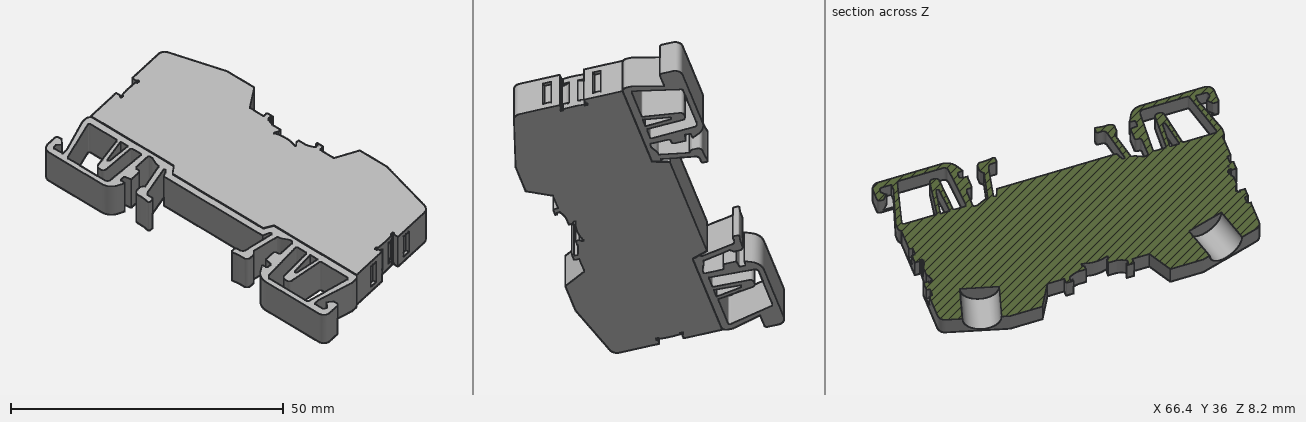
import cadquery as cq
import math

TOTAL_WIDTH = 66.4
TOTAL_HEIGHT = 36.0
BODY_THICKNESS = 8.2
BASE_INSET = 0.2
BASE_THICKNESS = BODY_THICKNESS - 2 * BASE_INSET

BODY_HALF = 31.3
BODY_BOTTOM = 11.7
SHOULDER_X = 18.8
SHOULDER_DROP = 3.45
SHOULDER_ROUND = 1.5
PEAK_X = 12.4
SHELF_X = 9.9
SHELF_Y = 31.55
TONGUE_Y = 9.95
TONGUE_TOP_X = 11.75
TONGUE_X = 10.7

CLIP_OUTER_X = 6.65
CLIP_INNER_X = 5.6
CLIP_LIP_X = 5.2
CLIP_TOP = 32.55
CLIP_LIP_HEIGHT = 0.4
CLIP_ROUND = 0.2
CLIP_ROOT = 0.65
LEDGE_Y = 30.9
LEDGE_CURVE_X = 3.8
LEDGE_END_X = 2.1
LEDGE_SAG = 0.35
RECESS_UNDERCUT_X = 2.5
RECESS_Y = 29.55
RECESS_CROWN = 0.3
LOBE_SIDE = 0.6
LOBE_TIP = 0.2
UNDERCUT_SINK = 0.1

NOTCH_Y = 21.4
NOTCH_HALF = 2.3
NOTCH_DEPTH = 1.2
NOTCH_BULGE = 0.1
UNDERCUT_DEPTH = 0.25
UNDERCUT_WIDTH = 0.4
SLOT_LENGTH = 5.45
SLOT_OFFSET = 4.8
SLOT_MOUTH = 1.6
SLOT_FLOOR = 1.2
SLOT_DEPTH = 0.65
RAMP_START = 0.8
RAMP_BEND = 1.45
RAMP_BEND_DEPTH = 0.25
RAMP_DEPTH = 0.5

ENTRY_DIAMETER = 7.2
ENTRY_DEPTH = 6.65
ENTRY_X = 23.7
ENTRY_CLEARANCE = 0.65

FOOT_HALF = TOTAL_WIDTH / 2
RIB_HALF = 31.75
RIB_TOP = 11.9
RIB_ROUND = 1.2
RIB_TOP_X = 29.9
RIB_OVERLAP = 13.3
BASE_MID_Y = 8.55
BASE_MID_X = 11.6
SKIN_TOP_X = 12.75
FOOT_FLOOR = 1.05
HOOK_TOP = 4.05
HOOK_POCKET_FLOOR = 1.4
HOOK_WEB = 0.65
WEB_OUTER_X = 32.55
WEB_INNER_X = 29.2
WEB_TOP_X = 30.0
WINDOW_TOP = 10.3
ARM_ROOT_Y = 10.0


def rounded_outline(corners):
    """Closed wire through (x, y, radius) corners, each rounded by a tangent arc."""
    spans = []
    count = len(corners)
    for i, (x, y, radius) in enumerate(corners):
        if radius == 0:
            spans.append([(x, y)])
            continue
        before = cq.Vector(*corners[i - 1][:2])
        after = cq.Vector(*corners[(i + 1) % count][:2])
        corner = cq.Vector(x, y)
        to_before = (before - corner).normalized()
        to_after = (after - corner).normalized()
        half_angle = to_before.getAngle(to_after) / 2
        setback = radius / math.tan(half_angle)
        bisector = (to_before + to_after).normalized()
        middle = corner + bisector * (radius / math.sin(half_angle) - radius)
        start = corner + to_before * setback
        end = corner + to_after * setback
        spans.append([p.toTuple()[:2] for p in (start, middle, end)])

    outline = cq.Workplane("XY").moveTo(*spans[0][-1])
    for span in spans[1:] + spans[:1]:
        outline = outline.lineTo(*span[0])
        if len(span) == 3:
            outline = outline.threePointArc(span[1], span[2])
    return outline.close()


def plate(outline, thickness):
    """Extrude an outline symmetrically about Z = 0."""
    return outline.extrude(thickness / 2, both=True)


def body_half():
    """Left half of the housing body without its side notch."""
    shoulder_y = TOTAL_HEIGHT - SHOULDER_DROP
    blank = plate(
        rounded_outline([
            (0, TONGUE_Y, 0),
            (-TONGUE_X, TONGUE_Y, 0),
            (-TONGUE_TOP_X, BODY_BOTTOM, 0),
            (-BODY_HALF, BODY_BOTTOM, 0),
            (-BODY_HALF, shoulder_y, SHOULDER_ROUND),
            (-SHOULDER_X, TOTAL_HEIGHT, 0),
            (-PEAK_X, TOTAL_HEIGHT, 0),
            (-SHELF_X, SHELF_Y, 0),
            (0, SHELF_Y, 0),
        ]),
        BODY_THICKNESS,
    )
    lip_bottom = CLIP_TOP - CLIP_LIP_HEIGHT
    clip = plate(
        rounded_outline([
            (-CLIP_OUTER_X, SHELF_Y - CLIP_ROOT, 0),
            (-CLIP_OUTER_X, CLIP_TOP, CLIP_ROUND),
            (-CLIP_LIP_X, CLIP_TOP, 0),
            (-CLIP_LIP_X, lip_bottom, 0),
            (-CLIP_INNER_X, lip_bottom, 0),
            (-CLIP_INNER_X, SHELF_Y - CLIP_ROOT, 0),
        ]),
        BODY_THICKNESS,
    )
    ledge_middle_y = LEDGE_Y + LEDGE_SAG * (SHELF_Y - LEDGE_Y)
    ledge_middle_x = (CLIP_INNER_X + LEDGE_CURVE_X) / 2
    recess = plate(
        cq.Workplane("XY")
        .moveTo(0, CLIP_TOP)
        .lineTo(-CLIP_INNER_X, CLIP_TOP)
        .lineTo(-CLIP_INNER_X, SHELF_Y)
        .threePointArc((-ledge_middle_x, ledge_middle_y), (-LEDGE_CURVE_X, LEDGE_Y))
        .lineTo(-LEDGE_END_X, LEDGE_Y)
        .lineTo(-LEDGE_END_X, RECESS_Y + LOBE_SIDE)
        .lineTo(-RECESS_UNDERCUT_X, RECESS_Y + LOBE_TIP)
        .lineTo(-RECESS_UNDERCUT_X, RECESS_Y - UNDERCUT_SINK)
        .lineTo(-LEDGE_END_X, RECESS_Y)
        .threePointArc((0, RECESS_Y + RECESS_CROWN), (LEDGE_END_X, RECESS_Y))
        .lineTo(LEDGE_END_X, CLIP_TOP)
        .close(),
        BODY_THICKNESS,
    )
    return blank.cut(recess).union(clip)


def side_notch():
    """Notch in the left side, with undercut corners and a bulging floor."""
    floor_x = NOTCH_DEPTH - BODY_HALF
    top = NOTCH_Y + NOTCH_HALF
    bottom = NOTCH_Y - NOTCH_HALF
    notch = plate(
        cq.Workplane("XY")
        .moveTo(-BODY_HALF, bottom)
        .lineTo(floor_x, bottom)
        .threePointArc((floor_x - NOTCH_BULGE, NOTCH_Y), (floor_x, top))
        .lineTo(-BODY_HALF, top)
        .close(),
        BODY_THICKNESS,
    )
    for side in (-1, 1):
        undercut = (
            cq.Workplane("XY")
            .center(
                floor_x + UNDERCUT_DEPTH - UNDERCUT_WIDTH / 2,
                NOTCH_Y + side * NOTCH_HALF,
            )
            .rect(UNDERCUT_WIDTH, 2 * UNDERCUT_DEPTH)
        )
        notch = notch.union(plate(undercut, BODY_THICKNESS))
    return notch


def side_slots():
    """Tapered slots beside the notch and ramped pockets in the notch floor."""
    slots = cq.Workplane("XY")
    floor_x = NOTCH_DEPTH - BODY_HALF
    for side in (-1, 1):
        slot_y = NOTCH_Y + side * SLOT_OFFSET
        slot = cq.Workplane("XY").polyline([
            (-BODY_HALF, slot_y - SLOT_MOUTH / 2),
            (SLOT_DEPTH - BODY_HALF, slot_y - SLOT_FLOOR / 2),
            (SLOT_DEPTH - BODY_HALF, slot_y + SLOT_FLOOR / 2),
            (-BODY_HALF, slot_y + SLOT_MOUTH / 2),
        ]).close()
        ramp_end = NOTCH_Y + side * NOTCH_HALF
        ramp = cq.Workplane("XY").polyline([
            (floor_x - NOTCH_BULGE, NOTCH_Y + side * RAMP_START),
            (floor_x + RAMP_BEND_DEPTH, NOTCH_Y + side * RAMP_BEND),
            (floor_x + RAMP_DEPTH, ramp_end),
            (floor_x - NOTCH_BULGE, ramp_end),
        ]).close()
        slots = slots.union(plate(slot, SLOT_LENGTH)).union(plate(ramp, SLOT_LENGTH))
    return slots


def wire_entry():
    """Round hole sunk at right angles into the sloping face."""
    run = BODY_HALF - SHOULDER_X
    inward = cq.Vector(SHOULDER_DROP, -run, 0).normalized()
    face_centre = cq.Vector(
        -ENTRY_X, TOTAL_HEIGHT - SHOULDER_DROP * (ENTRY_X - SHOULDER_X) / run, 0
    )
    start = face_centre - inward * ENTRY_CLEARANCE
    length = ENTRY_DEPTH + ENTRY_CLEARANCE
    cylinder = cq.Solid.makeCylinder(ENTRY_DIAMETER / 2, length, start, inward)
    return cq.Workplane(cylinder)


def base_half():
    """Left half of the rail base: crossbar, spring arm, foot and hook."""
    return plate(
        rounded_outline([
            (0, RIB_OVERLAP, 0),
            (0, BASE_MID_Y, 0),
            (-BASE_MID_X, BASE_MID_Y, 0),
            (-12.3, ARM_ROOT_Y, 0.165),
            (-12.75, ARM_ROOT_Y, 0.165),
            (-11.35, 3.1, 0.8),
            (-9.6, 3.1, 0.4),
            (-9.6, 1.8, 0.3),
            (-11.15, 2.05, 6.0),
            (-13.35, 2.05, 0.85),
            (-13.35, 3.9, 0.2),
            (-12.75, 4.6, 0),
            (-13.95, ARM_ROOT_Y, 0.1),
            (-14.6, 10.1, 2.0),
            (-16.15, 10.8, 0.2),
            (-17.0, 10.8, 0.3),
            (-17.0, 6.9, 0.4),
            (-15.8, 6.9, 0.45),
            (-15.8, 4.25, 0),
            (-17.25, 4.05, 0.1),
            (-17.25, 2.9, 0.2),
            (-16.15, 2.85, 0.05),
            (-17.6, 0, 2.85),
            (-FOOT_HALF, 0, 1.45),
            (-FOOT_HALF, HOOK_TOP, 0.5),
            (-32.0, HOOK_TOP, 0.1),
            (-31.1, 3.05, 0.05),
            (-31.95, 2.25, 0.2),
            (-31.8, HOOK_POCKET_FLOOR, 0.3),
            (-29.6, HOOK_POCKET_FLOOR, 0),
            (-29.6, 2.5, 0),
            (-RIB_HALF, 9.75, 1.0),
            (-RIB_HALF, RIB_TOP, RIB_ROUND),
            (-RIB_TOP_X, RIB_TOP, 0),
            (-RIB_TOP_X, RIB_OVERLAP, 0),
        ]),
        BASE_THICKNESS,
    )


def foot_windows():
    """Window around the spring finger and the narrow window inside it."""
    around_finger = rounded_outline([
        (-30.6, WINDOW_TOP - 0.05, 0.3),
        (-23.9, WINDOW_TOP - 0.05, 0.3),
        (-22.7, 2.65, 0.7),
        (-21.0, 2.65, 0.7),
        (-20.65, WINDOW_TOP, 0.25),
        (-18.2, WINDOW_TOP, 0.25),
        (-18.7, FOOT_FLOOR, 0.7),
        (-28.3, FOOT_FLOOR, 0.3),
    ])
    inside_finger = rounded_outline([
        (-23.2, WINDOW_TOP, 0),
        (-21.45, WINDOW_TOP, 0),
        (-21.8, 5.25, 0.1),
        (-22.25, 5.25, 0.1),
    ])
    windows = plate(around_finger, BODY_THICKNESS)
    return windows.union(plate(inside_finger, BODY_THICKNESS))


def hook_web():
    """Thin web between the hook and the outer leg at the lower face."""
    outline = cq.Workplane("XY", origin=(0, 0, -BASE_THICKNESS / 2)).polyline([
        (-WEB_OUTER_X, FOOT_FLOOR),
        (-WEB_INNER_X, FOOT_FLOOR),
        (-WEB_TOP_X, HOOK_TOP),
        (-WEB_OUTER_X, HOOK_TOP),
    ])
    return outline.close().extrude(HOOK_WEB)


def lower_face_tongue():
    """Extension of the lower body skin down to the middle edge of the base."""
    outline = cq.Workplane("XY", origin=(0, 0, -BODY_THICKNESS / 2)).polyline([
        (0, BODY_BOTTOM),
        (-SKIN_TOP_X, BODY_BOTTOM),
        (-BASE_MID_X, BASE_MID_Y),
        (0, BASE_MID_Y),
    ])
    return outline.close().extrude(BASE_INSET)


body = body_half().cut(side_notch()).cut(side_slots()).cut(wire_entry())
base = base_half().cut(foot_windows()).union(hook_web())
left_half = body.union(base).union(lower_face_tongue())
result = left_half.union(left_half.mirror("YZ")).clean()